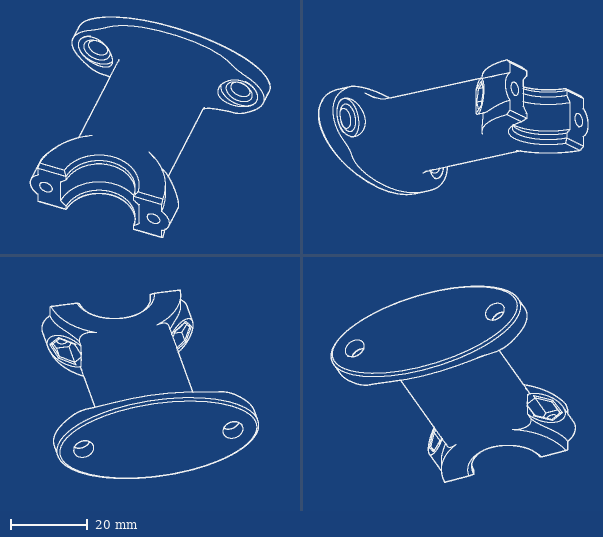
import cadquery as cq
import math

overall_length = 54.25
plate_width = 54.0
plate_height = 25.0
plate_thickness = 5.05
plate_edge_chamfer = 0.65
plate_face_y = overall_length - plate_thickness

shank_width = 24.1
shank_height = 15.2
shank_corner_radius = 4.0
shank_end_y = 44.4

flare_reach_x = 15.0
flare_length_x = plate_face_y - shank_end_y
flare_reach_z = 5.55
flare_length_z = 6.95

mount_spacing = 39.95
mount_diameter = 5.3
mount_mouth_diameter = 7.3
mount_countersink_depth = 0.85
spotface_diameter = 10.35

clamp_axis_y = -0.5
clamp_radius = 17.35
bore_radius = 9.45
groove_radius = 11.0
groove_floor_half_height = 3.7
groove_mouth_half_height = 5.2
bore_chamfer = 1.05
joint_chamfer = 1.05

screw_spacing = 30.15
screw_diameter = 3.5
boss_radius = 4.45
boss_straight_length = 6.7
nut_across_flats = 5.8
nut_mouth_across_flats = 6.65
nut_bevel_depth = 0.3
nut_seat_y = 5.4

half_height = shank_height / 2
boss_outer_x = screw_spacing / 2 + boss_radius
slope_end_y = boss_straight_length + boss_outer_x - shank_width / 2

margin = 2.7


def cylinder_along_y(x, radius, y_start, y_end):
    """Cylinder parallel to Y, centred at the given X and at Z = 0."""
    return cq.Workplane("XZ", origin=(x, y_start, 0)).circle(radius).extrude(y_start - y_end)


def box_between(low, high):
    """Box spanning two opposite corners."""
    size = [b - a for a, b in zip(low, high)]
    return cq.Workplane("XY", origin=low).box(*size, centered=False)


def flare_clearance(plane, half_width, reach, length):
    """Space beside the shank on one side, bounded by a quarter-elliptical flare."""
    depth = 2 * plate_width
    outer = half_width + plate_width
    flare_end_y = shank_end_y + length
    stepped_outline = [
        (half_width, -margin),
        (half_width, shank_end_y),
        (half_width + reach, shank_end_y),
        (half_width + reach, flare_end_y),
        (outer, flare_end_y),
        (outer, -margin),
    ]
    steps = cq.Workplane(plane).workplane(offset=-depth / 2)
    steps = steps.polyline(stepped_outline).close().extrude(depth)
    curve = cq.Workplane(plane).workplane(offset=-depth / 2)
    curve = curve.center(half_width + reach, shank_end_y).ellipse(reach, length).extrude(depth)
    return steps.union(curve)


def make_flared_shank():
    """Shank and plate in one body, trimmed to the elliptical plate outline."""
    body = box_between(
        (-plate_width / 2 - margin, 0, -plate_height / 2 - margin),
        (plate_width / 2 + margin, overall_length, plate_height / 2 + margin),
    )
    side = flare_clearance("XY", shank_width / 2, flare_reach_x, flare_length_x)
    top = flare_clearance("ZY", half_height, flare_reach_z, flare_length_z)
    body = body.cut(side).cut(side.mirror("YZ")).cut(top).cut(top.mirror("XY"))
    shank_corners = cq.selectors.BoxSelector(
        (-shank_width, 0, -shank_height), (shank_width, shank_end_y, shank_height)
    )
    body = body.edges(shank_corners).edges("|Y").fillet(shank_corner_radius)
    outline = (
        cq.Workplane("XZ")
        .ellipse(plate_width / 2, plate_height / 2)
        .extrude(-overall_length)
        .faces(">Y")
        .chamfer(plate_edge_chamfer)
    )
    return body.intersect(outline)


def mount_hole(x):
    """Spot-faced and countersunk hole through the plate."""
    hole = cylinder_along_y(x, mount_diameter / 2, plate_face_y, overall_length)
    spotface = cylinder_along_y(x, spotface_diameter / 2, shank_end_y - margin, plate_face_y)
    cone = cq.Solid.makeCone(
        mount_mouth_diameter / 2,
        mount_diameter / 2,
        mount_countersink_depth,
        pnt=cq.Vector(x, plate_face_y, 0),
        dir=cq.Vector(0, 1, 0),
    )
    return hole.union(spotface).union(cq.Workplane(cone))


def clamp_half_ring():
    """Outer cylinder of the clamp, kept on the shank side of the joint face."""
    ring = (
        cq.Workplane("XY", origin=(0, clamp_axis_y, 0))
        .circle(clamp_radius)
        .extrude(half_height, both=True)
    )
    return ring.intersect(
        box_between((-clamp_radius, 0, -half_height), (clamp_radius, clamp_radius, half_height))
    )


def screw_boss(side):
    """Round boss along Y whose far end slopes at 45 degrees into the shank."""
    x = side * screw_spacing / 2
    boss = cylinder_along_y(x, boss_radius, 0, boss_straight_length + boss_outer_x)
    profile = (
        cq.Workplane("XY")
        .moveTo(0, 0)
        .lineTo(side * boss_outer_x, 0)
        .lineTo(side * boss_outer_x, boss_straight_length)
        .lineTo(0, boss_straight_length + boss_outer_x)
        .close()
        .extrude(boss_radius, both=True)
    )
    return boss.intersect(profile)


def sloped_hexagon(side, across_flats, depth):
    """Hexagon seen along Y, laid on a plane the given depth below the boss slope."""
    corner_radius = across_flats / math.sqrt(3)
    points = []
    for corner in range(6):
        angle = corner * math.pi / 3
        x = screw_spacing / 2 + corner_radius * math.cos(angle)
        y = boss_straight_length + boss_outer_x - x - depth
        points.append(cq.Vector(side * x, y, corner_radius * math.sin(angle)))
    return cq.Wire.makePolygon(points, close=True)


def screw_hole(side):
    """Through hole with a bevelled nut pocket that ends where the boss slope meets the shank."""
    x = side * screw_spacing / 2
    hole = cylinder_along_y(x, screw_diameter / 2, 0, nut_seat_y)
    pocket = (
        cq.Workplane("XZ", origin=(x, nut_seat_y, 0))
        .polygon(6, 2 * nut_across_flats / math.sqrt(3))
        .extrude(nut_seat_y - slope_end_y)
    )
    bevel = cq.Solid.makeLoft(
        [
            sloped_hexagon(side, nut_across_flats, nut_bevel_depth),
            sloped_hexagon(side, nut_mouth_across_flats, 0),
        ],
        True,
    )
    below_slope_end = box_between(
        (-plate_width, 0, -half_height), (plate_width, slope_end_y, half_height)
    )
    return hole.union(pocket).union(cq.Workplane(bevel).intersect(below_slope_end))


def clamp_bore():
    """Bore with chamfered mouths and an inner groove with sloped walls."""
    upper = [
        (groove_radius, groove_floor_half_height),
        (bore_radius, groove_mouth_half_height),
        (bore_radius, half_height - bore_chamfer),
        (bore_radius + bore_chamfer, half_height),
    ]
    lower = [(radius, -z) for radius, z in reversed(upper)]
    profile = cq.Workplane("XZ", origin=(0, clamp_axis_y, 0)).polyline(
        [(0, -half_height)] + lower + upper + [(0, half_height)]
    )
    return profile.close().revolve(360, (0, 0, 0), (0, 1, 0))


def joint_edge_cut(side):
    """Wedge that bevels the top or bottom edge of the joint face."""
    return (
        cq.Workplane("YZ")
        .moveTo(0, side * half_height)
        .lineTo(joint_chamfer, side * half_height)
        .lineTo(0, side * (half_height - joint_chamfer))
        .close()
        .extrude(plate_width, both=True)
    )


result = make_flared_shank().union(clamp_half_ring())
for side in (-1, 1):
    result = result.union(screw_boss(side))
for side in (-1, 1):
    result = result.cut(mount_hole(side * mount_spacing / 2))
    result = result.cut(screw_hole(side))
    result = result.cut(joint_edge_cut(side))
result = result.cut(clamp_bore())